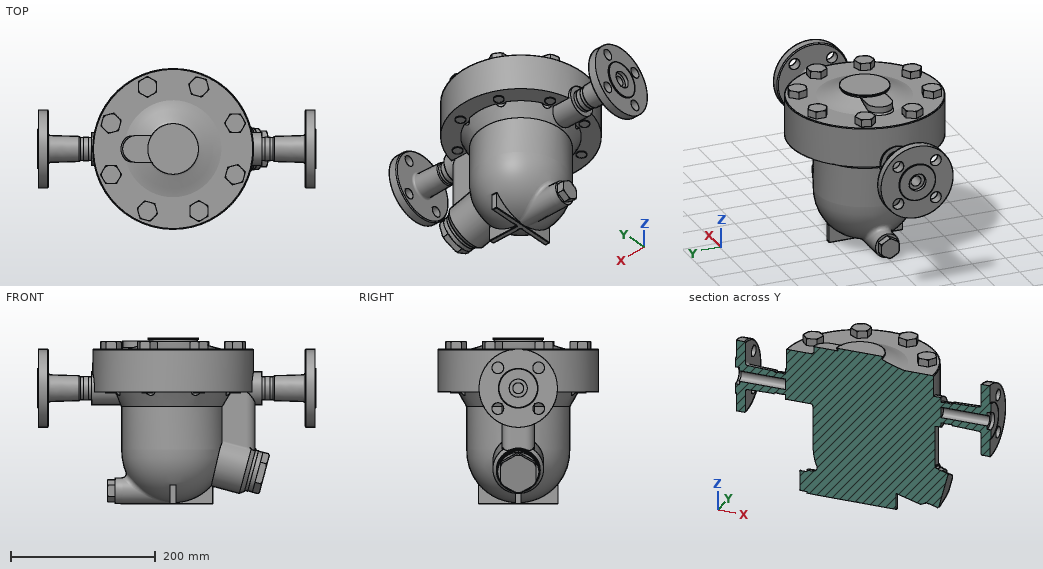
import cadquery as cq
import math


top_z = 69.3
cover_top_z = 54.0
flange_bottom_z = -5.0
throat_z = -25.5
dome_rim_z = -84.7
dome_bottom_z = -158.2
base_z = -159.8

flange_radius = 222.0 / 2
flange_edge_chamfer = 1.0
body_radius = 71.2
collar_radius = 83.0

cap_radius = 70.0 / 2
cap_rim_height = 2.0
cap_neck_radius = 33.5
cap_fillet_outer_radius = 37.7
cap_fillet_top_z = 64.5
cone_top_z = 62.8
cone_bottom_radius = 55.5
cone_bottom_z = 57.0
cone_toe_radius = 67.0

pad_radius = 18.5
pad_center_x = -51.2
pad_top_z = 65.5
pad_foot = 2.5

bolt_count = 8
bolt_circle_radius = 92.8
bolt_head_flats = 25.0
bolt_head_height = 10.8
bolt_head_chamfer = 1.0
bolt_shank_diameter = 15.0
bolt_end_length = 1.5
spotface_diameter = 25.0
spotface_depth = 5.8

pipe_center_x = 5.0
pipe_half_length = 192.5
raised_face_radius = 27.5
raised_face_chamfer = 0.8
raised_face_height = 1.5
pipe_flange_radius = 108.0 / 2
pipe_flange_thickness = 14.0
pipe_flange_chamfer = 1.5
pipe_flange_back = pipe_half_length - raised_face_height - pipe_flange_thickness
hub_fillet = 3.0
hub_large_radius = 37.5 / 2
hub_small_radius = 35.0 / 2
hub_start = 134.8
neck_radius = 32.0 / 2
neck_end = 133.2
weld_bead_radius = 32.7 / 2
weld_bead_start = 121.5
weld_bead_end = 129.0
boss_radius = 46.0 / 2
boss_end = 117.5
boss_start = 69.3
flange_hole_diameter = 16.0
flange_hole_offset = 28.0
socket_diameter = 25.0
socket_depth = 5.5
bore_diameter = 15.0

channel_half_width = 22.5
channel_end_x = 113.0
channel_edge_radius = 12.7
channel_bottom_z = -100.0
channel_root_fillet = 4.5
channel_root_top_z = -69.3
channel_root_low_z = -77.0

housing_tilt = 15.0
housing_radius = 70.0 / 2
housing_rim = 104.0
housing_end_radius = 30.5
housing_end = 110.0
gasket_radius = 58.0 / 2
gasket_end = 114.5
plug_seat_radius = 28.5
plug_seat_end = 121.0
plug_flats = 49.5
plug_end = 130.5
plug_chamfer = 2.0

drain_radius = 36.0 / 2
drain_axis_z = base_z + drain_radius
drain_start_x = -4.0
drain_taper_x = -69.5
drain_end_x = -80.0
drain_end_radius = 17.7
drain_root_fillet = 5.8
drain_plug_flats = 27.0
drain_plug_length = 10.8
drain_plug_chamfer = 1.0

fin_thickness = 8.0
fin_reach = 55.0
fin_top_z = -133.5
fin_chamfer = 0.8


def hex_head(flats, height, chamfer):
    """Hexagonal head standing on the XY plane, corners on X, top corners turned off."""
    corners = flats / math.cos(math.pi / 6)
    head = cq.Workplane("XY").polygon(6, corners).extrude(height)
    blank = cq.Workplane("XY").circle(corners / 2).extrude(height).faces(">Z").chamfer(chamfer)
    return head.intersect(blank)


def revolve_about_x(profile):
    """Close a half profile along the X axis and turn it about that axis."""
    return profile.close().revolve(360, (0, 0, 0), (1, 0, 0))


def make_vessel():
    """Cover, bolted flange, conical collar, cylinder and rounded bottom in one turned profile."""
    dome_height = dome_rim_z - dome_bottom_z
    dome_radius = (body_radius**2 + dome_height**2) / (2 * dome_height)
    return (
        cq.Workplane("XZ")
        .moveTo(0, top_z)
        .lineTo(cap_radius, top_z)
        .lineTo(cap_radius, top_z - cap_rim_height)
        .lineTo(cap_neck_radius, top_z - cap_rim_height)
        .lineTo(cap_neck_radius, cap_fillet_top_z)
        .lineTo(cap_fillet_outer_radius, cone_top_z)
        .lineTo(cone_bottom_radius, cone_bottom_z)
        .tangentArcPoint((cone_toe_radius, cover_top_z), relative=False)
        .lineTo(flange_radius - flange_edge_chamfer, cover_top_z)
        .lineTo(flange_radius, cover_top_z - flange_edge_chamfer)
        .lineTo(flange_radius, flange_bottom_z)
        .lineTo(collar_radius, flange_bottom_z)
        .lineTo(body_radius, throat_z)
        .lineTo(body_radius, dome_rim_z)
        .radiusArc((0, dome_bottom_z), dome_radius)
        .close()
        .revolve(360, (0, 0, 0), (0, 1, 0))
    )


def make_pad():
    """Round-ended pad running from the cap towards -X, with a flared foot."""

    def key_outline(radius, bottom_z):
        return (
            cq.Workplane("XY", origin=(0, 0, bottom_z))
            .moveTo(0, radius)
            .lineTo(pad_center_x, radius)
            .threePointArc((pad_center_x - radius, 0), (pad_center_x, -radius))
            .lineTo(0, -radius)
            .close()
        )

    pad = key_outline(pad_radius, cover_top_z).extrude(pad_top_z - cover_top_z)
    foot = key_outline(pad_radius + pad_foot, cover_top_z).extrude(pad_foot, taper=45)
    return pad.union(foot)


def bolt_positions():
    """Angle and centre of each cover bolt, straddling the X axis."""
    for index in range(bolt_count):
        angle = (index + 1 / 2) * 360 / bolt_count
        x = bolt_circle_radius * math.cos(math.radians(angle))
        y = bolt_circle_radius * math.sin(math.radians(angle))
        yield angle, x, y


def add_bolts(body):
    """Bolt heads on the cover, with shank ends and spotfaces under the flange."""
    for angle, x, y in bolt_positions():
        spotface = (
            cq.Workplane("XY", origin=(x, y, flange_bottom_z))
            .circle(spotface_diameter / 2)
            .extrude(-spotface_depth)
        )
        shank_end = (
            cq.Workplane("XY", origin=(x, y, flange_bottom_z))
            .circle(bolt_shank_diameter / 2)
            .extrude(-bolt_end_length)
        )
        head = (
            hex_head(bolt_head_flats, bolt_head_height, bolt_head_chamfer)
            .rotate((0, 0, 0), (0, 0, 1), angle - 180 / bolt_count)
            .translate((x, y, cover_top_z))
        )
        body = body.cut(spotface).union(shank_end).union(head)
    return body


def make_pipe():
    """Pipe connection along +X: boss, neck with weld bead, tapered hub and flange with raised face."""
    flange_front = pipe_half_length - raised_face_height
    return revolve_about_x(
        cq.Workplane("XY")
        .moveTo(boss_start, 0)
        .lineTo(boss_start, boss_radius)
        .lineTo(boss_end, boss_radius)
        .lineTo(boss_end, neck_radius)
        .lineTo(weld_bead_start, neck_radius)
        .lineTo(weld_bead_start, weld_bead_radius)
        .lineTo(weld_bead_end, weld_bead_radius)
        .lineTo(weld_bead_end, neck_radius)
        .lineTo(neck_end, neck_radius)
        .lineTo(hub_start, hub_small_radius)
        .lineTo(pipe_flange_back - hub_fillet, hub_large_radius)
        .radiusArc((pipe_flange_back, hub_large_radius + hub_fillet), -hub_fillet)
        .lineTo(pipe_flange_back, pipe_flange_radius - pipe_flange_chamfer)
        .lineTo(pipe_flange_back + pipe_flange_chamfer, pipe_flange_radius)
        .lineTo(flange_front, pipe_flange_radius)
        .lineTo(flange_front, raised_face_radius)
        .lineTo(pipe_half_length - raised_face_chamfer, raised_face_radius)
        .lineTo(pipe_half_length, raised_face_radius - raised_face_chamfer)
        .lineTo(pipe_half_length, 0)
    )


def make_pipe_holes():
    """Flange bolt holes and stepped bore of the connection along +X."""
    face = cq.Workplane("YZ", origin=(pipe_half_length, 0, 0))
    bolt_holes = (
        face.rect(2 * flange_hole_offset, 2 * flange_hole_offset, forConstruction=True)
        .vertices()
        .circle(flange_hole_diameter / 2)
        .extrude(pipe_flange_back - pipe_half_length)
    )
    socket = face.circle(socket_diameter / 2).extrude(-socket_depth)
    bore = face.circle(bore_diameter / 2).extrude(boss_end - pipe_half_length)
    return bolt_holes.union(socket).union(bore)


def on_both_ends(shape):
    """The shape at the +X end together with its mirror image at the -X end."""
    return shape.union(shape.mirror("YZ")).translate((pipe_center_x, 0, 0))


def make_channel():
    """Upright channel from the body axis to a rounded +X end."""
    height = flange_bottom_z - channel_bottom_z
    return (
        cq.Workplane("XY", origin=(0, 0, channel_bottom_z))
        .box(channel_end_x, 2 * channel_half_width, height, centered=(False, True, False))
        .edges("|Z and >X")
        .fillet(channel_edge_radius)
    )


def tilt_housing(shape):
    """Turn a shape lying along +X downwards and move it to the middle of the dome's rim."""
    return shape.rotate((0, 0, 0), (0, 1, 0), housing_tilt).translate((0, 0, dome_rim_z))


def make_housing():
    """Inclined cylinder with bevelled end, gasket and round seat of the plug."""
    housing = revolve_about_x(
        cq.Workplane("XY")
        .lineTo(0, housing_radius)
        .lineTo(housing_rim, housing_radius)
        .lineTo(housing_end, housing_end_radius)
        .lineTo(housing_end, gasket_radius)
        .lineTo(gasket_end, gasket_radius)
        .lineTo(gasket_end, plug_seat_radius)
        .lineTo(plug_seat_end, plug_seat_radius)
        .lineTo(plug_seat_end, 0)
    )
    return tilt_housing(housing)


def make_plug():
    """Hexagonal plug closing the valve seat housing."""
    plug = (
        hex_head(plug_flats, plug_end - plug_seat_end, plug_chamfer)
        .rotate((0, 0, 0), (0, 1, 0), 90)
        .translate((plug_seat_end, 0, 0))
    )
    return tilt_housing(plug)


def make_drain_pipe():
    """Horizontal pipe from under the dome to -X, slightly tapered at its end."""
    pipe = revolve_about_x(
        cq.Workplane("XY")
        .moveTo(drain_start_x, 0)
        .lineTo(drain_start_x, drain_radius)
        .lineTo(drain_taper_x, drain_radius)
        .lineTo(drain_end_x, drain_end_radius)
        .lineTo(drain_end_x, 0)
    )
    return pipe.translate((0, 0, drain_axis_z))


def make_drain_plug():
    """Hexagonal plug closing the drain pipe."""
    return (
        hex_head(drain_plug_flats, drain_plug_length, drain_plug_chamfer)
        .rotate((0, 0, 0), (0, 1, 0), -90)
        .translate((drain_end_x, 0, drain_axis_z))
    )


def make_vessel_with_drain():
    """Vessel with the drain pipe blended into the dome along their curved meeting line."""
    joint = cq.selectors.BoxSelector(
        (drain_taper_x, -drain_radius, base_z),
        (drain_start_x - drain_radius / 2, drain_radius, dome_rim_z),
    )
    return (
        make_vessel()
        .union(make_drain_pipe())
        .edges(joint)
        .edges("%BSPLINE")
        .fillet(drain_root_fillet)
    )


def make_outlet():
    """Outlet channel on the valve seat housing, blended along its two flat sides."""
    joint = cq.selectors.BoxSelector(
        (channel_end_x / 4, -housing_radius, channel_root_low_z),
        (channel_end_x - channel_edge_radius, housing_radius, channel_root_top_z),
    )
    return (
        make_channel()
        .union(make_housing())
        .edges(joint)
        .fillet(channel_root_fillet)
    )


def make_fins():
    """One fin across the body and one towards +X, both flush with the base."""
    height = fin_top_z - base_z
    across = cq.Workplane("XY").box(fin_thickness, 2 * fin_reach, height, centered=(True, True, False))
    along = cq.Workplane("XY").box(fin_reach, fin_thickness, height, centered=(False, True, False))
    return across.union(along).translate((0, 0, base_z)).faces("<Z").edges().chamfer(fin_chamfer)


vessel = make_vessel_with_drain().union(make_outlet())
vessel = vessel.union(make_fins()).union(make_pad())
vessel = add_bolts(vessel)
vessel = vessel.union(make_plug()).union(make_drain_plug()).union(on_both_ends(make_pipe()))
result = vessel.cut(on_both_ends(make_pipe_holes()))